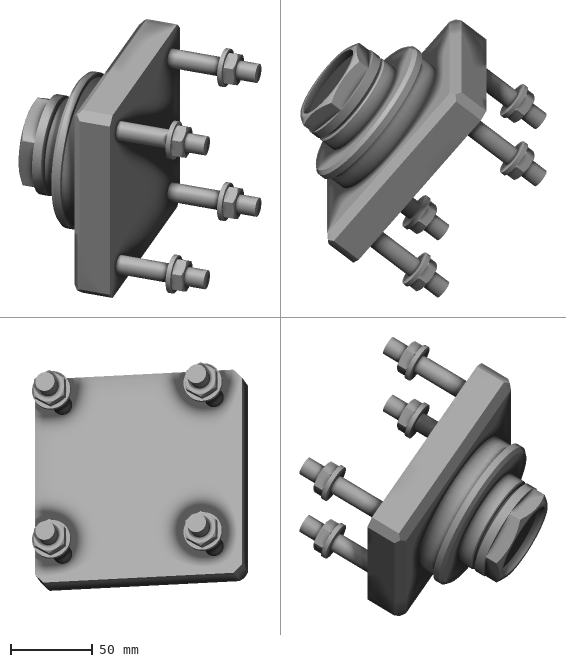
import cadquery as cq
import math


flange_diameter = 62.9
head_flats = 54.7
head_height = 10.5
head_face_diameter = 53.8
recess_diameter = 48.8
recess_depth = 5.1
recess_rim_chamfer = 0.3
flange_end = 16.2
flange_cone_end = 17.2
flange_cone_end_diameter = 56.6
neck_diameter = 54.5

collar_start = 18.5
collar_chamfer = 0.7
ring_start = 28.6
ring_end = 35.0
ring_diameter = 98.4
ring_chamfer = 2.2
drum_diameter = 93.2
drum_chamfer = 0.5
plate_start = 48.2
plate_end = 73.2
plate_side = 130.0
plate_chamfer = 5.2

stud_diameter = 12.0
stud_end = 130.5
stud_spacing = 95.3
washer_start = 107.8
washer_end = 110.7
washer_diameter = 24.0
nut_end = 118.0
nut_flats = 19.0

hex_chamfer_angle = math.radians(30)


def cylinder(diameter, start, end):
    """Cylinder on the X axis between two X positions."""
    return cq.Workplane("YZ", origin=(start, 0, 0)).circle(diameter / 2).extrude(end - start)


def hex_corner_radius(flats):
    """Distance from the centre of a hexagon to its corners."""
    return flats / 2 / math.cos(math.pi / 6)


def hex_prism(flats, start, end):
    """Hexagonal prism on the X axis with two corners on +Z and -Z."""
    corner_radius = hex_corner_radius(flats)
    corner_angles = [math.pi / 2 + i * math.pi / 3 for i in range(6)]
    corners = [(corner_radius * math.cos(a), corner_radius * math.sin(a)) for a in corner_angles]
    return cq.Workplane("YZ", origin=(start, 0, 0)).polyline(corners).close().extrude(end - start)


def cone_chamfer_depth(outer_diameter, face_diameter):
    """Axial depth of a conical chamfer from an outer diameter down to a round end face."""
    return (outer_diameter - face_diameter) / 2 * math.tan(hex_chamfer_angle)


def revolve_profile(points):
    """Solid of revolution about X from (x, radius) points."""
    return cq.Workplane("XY").polyline(points).close().revolve(360, (0, 0, 0), (1, 0, 0))


def make_plug_head():
    """Hexagon head: its corners are cut to the flange circle and its end is chamfered and recessed."""
    outer_radius = flange_diameter / 2
    depth = cone_chamfer_depth(flange_diameter, head_face_diameter)
    envelope = revolve_profile([
        (0, 0),
        (0, head_face_diameter / 2),
        (depth, outer_radius),
        (head_height, outer_radius),
        (head_height, 0),
    ])
    recess = cylinder(recess_diameter, 0, recess_depth)
    head = hex_prism(head_flats, 0, head_height).intersect(envelope).cut(recess)
    recess_rim = cq.selectors.RadiusNthSelector(0)
    return head.faces("<X").edges(recess_rim).chamfer(recess_rim_chamfer)


def make_plug():
    """Head, flange and neck; the neck sits flat against the collar of the housing."""
    flange_and_neck = revolve_profile([
        (head_height, 0),
        (head_height, flange_diameter / 2),
        (flange_end, flange_diameter / 2),
        (flange_cone_end, flange_cone_end_diameter / 2),
        (flange_cone_end, neck_diameter / 2),
        (collar_start, neck_diameter / 2),
        (collar_start, 0),
    ])
    return make_plug_head().union(flange_and_neck)


def make_plate():
    """Square plate whose corners and front outline carry equal chamfers meeting in a point at each corner."""
    thickness = plate_end - plate_start
    block = cq.Workplane("XY").box(thickness, plate_side, plate_side, centered=(False, True, True))
    block = block.translate((plate_start, 0, 0))
    plate = block.edges("|X").chamfer(plate_chamfer)
    for front_edges in ("|Y", "|Z"):
        plate = plate.intersect(block.faces("<X").edges(front_edges).chamfer(plate_chamfer))
    return plate


def make_nut():
    """Nut against the washer, with conical chamfers on both ends."""
    corner_radius = hex_corner_radius(nut_flats)
    depth = cone_chamfer_depth(2 * corner_radius, nut_flats)
    envelope = revolve_profile([
        (washer_end, 0),
        (washer_end, nut_flats / 2),
        (washer_end + depth, corner_radius),
        (nut_end - depth, corner_radius),
        (nut_end, nut_flats / 2),
        (nut_end, 0),
    ])
    return hex_prism(nut_flats, washer_end, nut_end).intersect(envelope)


def make_stud():
    """Stud with its washer and nut, on the X axis."""
    stud = cylinder(stud_diameter, plate_end, stud_end)
    washer = cylinder(washer_diameter, washer_start, washer_end)
    return stud.union(washer).union(make_nut())


def make_housing():
    """Plate with the drum, ring and collar in front and four fitted studs behind."""
    collar = cylinder(flange_diameter, collar_start, ring_start).faces("<X").chamfer(collar_chamfer)
    ring = cylinder(ring_diameter, ring_start, ring_end).faces("<X").chamfer(ring_chamfer)
    drum = cylinder(drum_diameter, ring_end, plate_start).faces("<X").chamfer(drum_chamfer)
    body = make_plate().union(drum).union(ring).union(collar)
    stud = make_stud()
    offset = stud_spacing / 2
    for y in (-offset, offset):
        for z in (-offset, offset):
            body = body.union(stud.translate((0, y, z)))
    return body


plug = make_plug()
housing = make_housing()

result = cq.Compound.makeCompound([plug.val(), housing.val()])